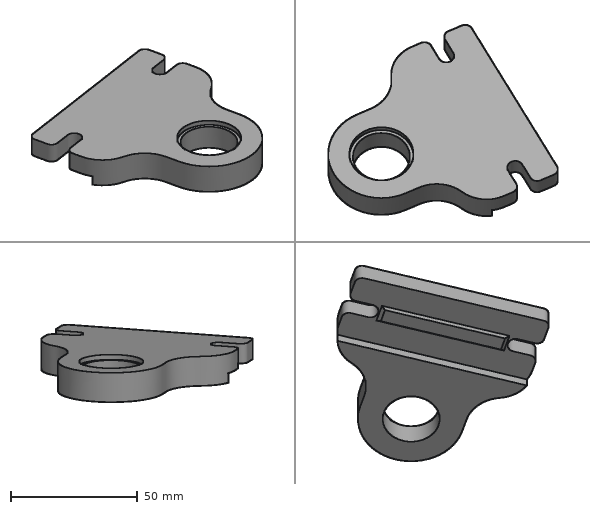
import cadquery as cq
import math

length = 80.3
width = 80.0
eye_thickness = 12.0
plate_thickness = 8.0
half_width = width / 2
plate_bottom = eye_thickness - plate_thickness
step_x = 30.0

eye_radius = 21.1
eye_x = length - eye_radius
bore_diameter = 22.6
counterbore_diameter = 25.4
counterbore_depth = 2.0

shoulder_radius = 15.0
shoulder_x = 25.2
shoulder_drop = half_width - eye_radius
shoulder_run = math.sqrt(4 * shoulder_radius * shoulder_drop - shoulder_drop**2)
neck_x = shoulder_x + shoulder_run

slot_x = 15.0
slot_width = 6.3
slot_depth = 13.2
corner_radius = 3.0

pad_height = 1.05
pad_width = 7.7
pad_length = 52.7
pad_side_taper = 1.0
pad_end_taper = 1.5


def shoulder_arc_points(convex):
    """Middle points of the two shoulder arcs; convex selects the outer one."""
    half_sweep = math.asin(shoulder_run / (2 * shoulder_radius)) / 2
    across = shoulder_radius * math.sin(half_sweep)
    sag = shoulder_radius * (1 - math.cos(half_sweep))
    if convex:
        return shoulder_x + across, half_width - sag
    return neck_x - across, eye_radius + sag


def make_body():
    middle_x = (shoulder_x + neck_x) / 2
    middle_y = (half_width + eye_radius) / 2
    convex_x, convex_y = shoulder_arc_points(True)
    concave_x, concave_y = shoulder_arc_points(False)
    outline = (
        cq.Workplane("XY")
        .moveTo(0, -half_width)
        .lineTo(shoulder_x, -half_width)
        .threePointArc((convex_x, -convex_y), (middle_x, -middle_y))
        .threePointArc((concave_x, -concave_y), (neck_x, -eye_radius))
        .lineTo(eye_x, -eye_radius)
        .threePointArc((length, 0), (eye_x, eye_radius))
        .lineTo(neck_x, eye_radius)
        .threePointArc((concave_x, concave_y), (middle_x, middle_y))
        .threePointArc((convex_x, convex_y), (shoulder_x, half_width))
        .lineTo(0, half_width)
        .close()
    )
    return outline.extrude(eye_thickness)


def cut_slots(body):
    straight_depth = slot_depth - slot_width / 2
    for side in (-1, 1):
        round_end_y = side * (half_width - straight_depth)
        straight = (
            cq.Workplane("XY")
            .center(slot_x, side * (half_width - straight_depth / 2))
            .rect(slot_width, straight_depth)
            .extrude(eye_thickness)
        )
        round_end = (
            cq.Workplane("XY").center(slot_x, round_end_y).circle(slot_width / 2).extrude(eye_thickness)
        )
        body = body.cut(straight).cut(round_end)
    return body


def round_corners(body):
    corner_xs = (0, slot_x - slot_width / 2, slot_x + slot_width / 2)
    tolerance = 0.01
    for x in corner_xs:
        for y in (-half_width, half_width):
            corner = cq.selectors.BoxSelector(
                (x - tolerance, y - tolerance, 0),
                (x + tolerance, y + tolerance, eye_thickness),
            )
            body = body.edges("|Z").edges(corner).fillet(corner_radius)
    return body


def thin_plate(body):
    relief = cq.Workplane("XY").box(step_x, width, plate_bottom, centered=(False, True, False))
    return body.cut(relief)


def make_pad():
    return (
        cq.Workplane("XY", origin=(slot_x, 0, plate_bottom - pad_height))
        .rect(pad_width - 2 * pad_side_taper, pad_length - 2 * pad_end_taper)
        .workplane(offset=pad_height)
        .rect(pad_width, pad_length)
        .loft()
    )


def bore_eye(body):
    return (
        body.faces(">Z")
        .workplane(origin=(eye_x, 0, eye_thickness))
        .cboreHole(bore_diameter, counterbore_diameter, counterbore_depth)
    )


body = round_corners(cut_slots(make_body()))
result = bore_eye(thin_plate(body).union(make_pad()))